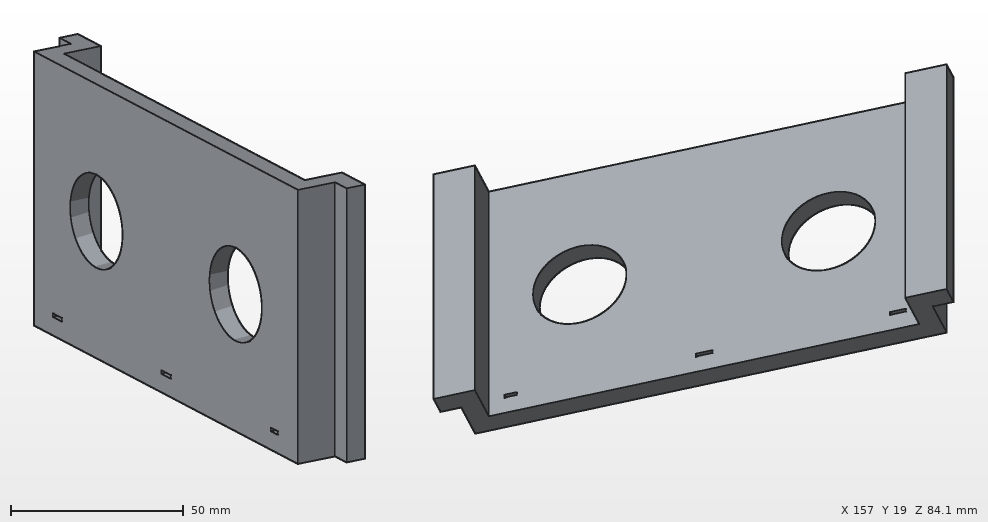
import cadquery as cq

width = 157.0
depth = 19.0
height = 84.1

wall = depth / 3
channel_width = width - 2 * wall

opening_diameter = 28.5
opening_spacing = 76.1

slot_height = 1.1
slot_rise = 6.3
slots = [(-59.3, 4.9), (0, 5.2), (59.2, 3.8)]


def centred_block(size_x, y_start, y_end):
    """Full-height block centred on X and Z, spanning the given Y range."""
    block = cq.Workplane("XY").box(size_x, y_end - y_start, height)
    return block.translate((0, (y_start + y_end) / 2, 0))


def make_bracket():
    """Channel open to the back, with a flange turned outward along each rear edge."""
    channel = centred_block(channel_width, 0, depth)
    flanges = centred_block(width, depth - wall, depth)
    cavity = centred_block(channel_width - 2 * wall, wall, depth)
    return channel.union(flanges).cut(cavity)


def make_openings():
    """Cylinders that pass through the panel."""
    centres = [(side * opening_spacing / 2, 0) for side in (-1, 1)]
    plane = cq.Workplane("XZ").pushPoints(centres)
    return plane.circle(opening_diameter / 2).extrude(-wall)


def make_slot(centre_x, length):
    """Rectangular bar that passes through the panel."""
    slot_z = slot_rise - height / 2
    return cq.Workplane("XZ").center(centre_x, slot_z).rect(length, slot_height).extrude(-wall)


result = make_bracket().cut(make_openings())
for slot_x, slot_length in slots:
    result = result.cut(make_slot(slot_x, slot_length))